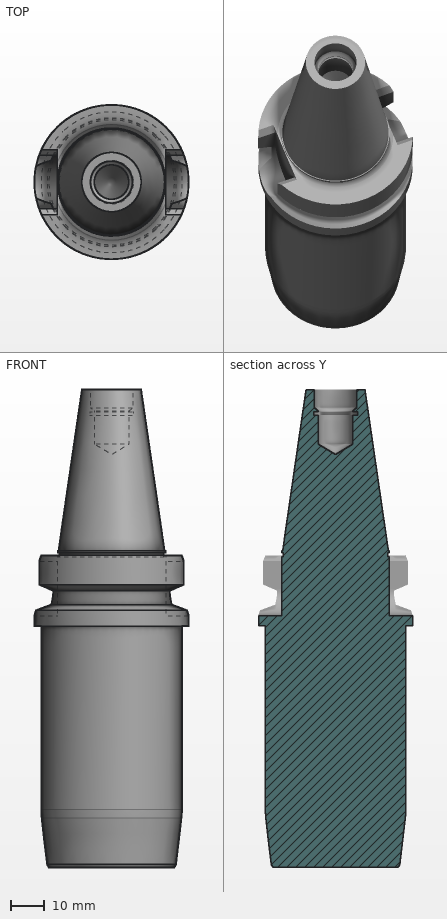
import cadquery as cq
import math

total_height = 142.4
nose_chamfer_height = 1.0
nose_cone_top = 14.8
body_bottom = 17.4
flange_bottom = 71.9
lower_rim_top = 76.6
groove_bottom = 78.3
groove_top = 82.5
upper_rim_bottom = 84.3
flange_top = 93.0
lip_bottom = 93.7
taper_bottom = 94.4

nose_face_radius = 18.7
nose_cone_small_radius = 19.2
body_radius = 42.0 / 2
flange_radius = 46.0 / 2
groove_radius = 19.1
neck_radius = 31.2 / 2
taper_large_radius = 15.8
lip_radius = 16.1
taper_small_radius = 8.8

relief_radius = 17.2
relief_depth = 0.4

nose_blend_radius = 21.6

slot_floor_x = 16.1
slot_half_width = 8.0
slot_bottom = 75.0
slot_chamfer = 1.7

bore_radius = 12.5 / 2
bore_depth = 5.4
step_cone_height = 1.0
land_height = 0.3
undercut_radius = 13.0 / 2
undercut_height = 1.0
pilot_radius = 10.3 / 2
pilot_depth = 8.5
drill_tip_half_angle = math.radians(59)


def turned_body():
    """Revolve the outer outline about the Z axis."""
    blend_height = body_bottom - nose_cone_top
    blend_angle = math.asin(blend_height / nose_blend_radius)

    def blend_point(angle):
        x = body_radius - nose_blend_radius * (1 - math.cos(angle))
        return x, body_bottom - nose_blend_radius * math.sin(angle)

    outline = (
        cq.Workplane("XZ")
        .moveTo(0, 0)
        .lineTo(nose_face_radius, 0)
        .lineTo(nose_cone_small_radius, nose_chamfer_height)
        .lineTo(*blend_point(blend_angle))
        .threePointArc(blend_point(blend_angle / 2), (body_radius, body_bottom))
        .lineTo(body_radius, flange_bottom)
        .lineTo(flange_radius, flange_bottom)
        .lineTo(flange_radius, lower_rim_top)
        .lineTo(groove_radius, groove_bottom)
        .lineTo(groove_radius, groove_top)
        .lineTo(flange_radius, upper_rim_bottom)
        .lineTo(flange_radius, flange_top)
        .lineTo(relief_radius, flange_top)
        .lineTo(neck_radius, flange_top - relief_depth)
        .lineTo(neck_radius, lip_bottom)
        .lineTo(lip_radius, lip_bottom)
        .lineTo(lip_radius, taper_bottom)
        .lineTo(taper_large_radius, taper_bottom)
        .lineTo(taper_small_radius, total_height)
        .lineTo(0, total_height)
        .close()
    )
    return outline.revolve(360, (0, 0), (0, 1))


def drive_slot(side):
    """Round-bottomed slot cutter with a chamfered mouth; side is -1 or +1."""
    arc_center = slot_bottom + slot_half_width
    mouth_half_width = slot_half_width + slot_chamfer
    chamfer_start = flange_top - slot_chamfer
    profile = (
        cq.Workplane("YZ", origin=(side * slot_floor_x, 0, 0))
        .moveTo(-slot_half_width, arc_center)
        .threePointArc((0, slot_bottom), (slot_half_width, arc_center))
        .lineTo(slot_half_width, chamfer_start)
        .lineTo(mouth_half_width, flange_top)
        .lineTo(-mouth_half_width, flange_top)
        .lineTo(-slot_half_width, chamfer_start)
        .close()
    )
    return profile.extrude(side * flange_radius)


def end_bore():
    """Stepped bore with a ring-shaped undercut and a conical drill tip."""
    bore_floor = total_height - bore_depth
    land_top = bore_floor - step_cone_height
    undercut_top = land_top - land_height
    undercut_floor = undercut_top - undercut_height
    pilot_floor = undercut_floor - pilot_depth
    tip_height = pilot_radius / math.tan(drill_tip_half_angle)
    profile = (
        cq.Workplane("XZ")
        .moveTo(0, total_height)
        .lineTo(bore_radius, total_height)
        .lineTo(bore_radius, bore_floor)
        .lineTo(pilot_radius, land_top)
        .lineTo(pilot_radius, undercut_top)
        .lineTo(undercut_radius, undercut_top)
        .lineTo(undercut_radius, undercut_floor)
        .lineTo(pilot_radius, undercut_floor)
        .lineTo(pilot_radius, pilot_floor)
        .lineTo(0, pilot_floor - tip_height)
        .close()
    )
    return profile.revolve(360, (0, 0), (0, 1))


result = turned_body().cut(end_bore())
for slot_side in (-1, 1):
    result = result.cut(drive_slot(slot_side))